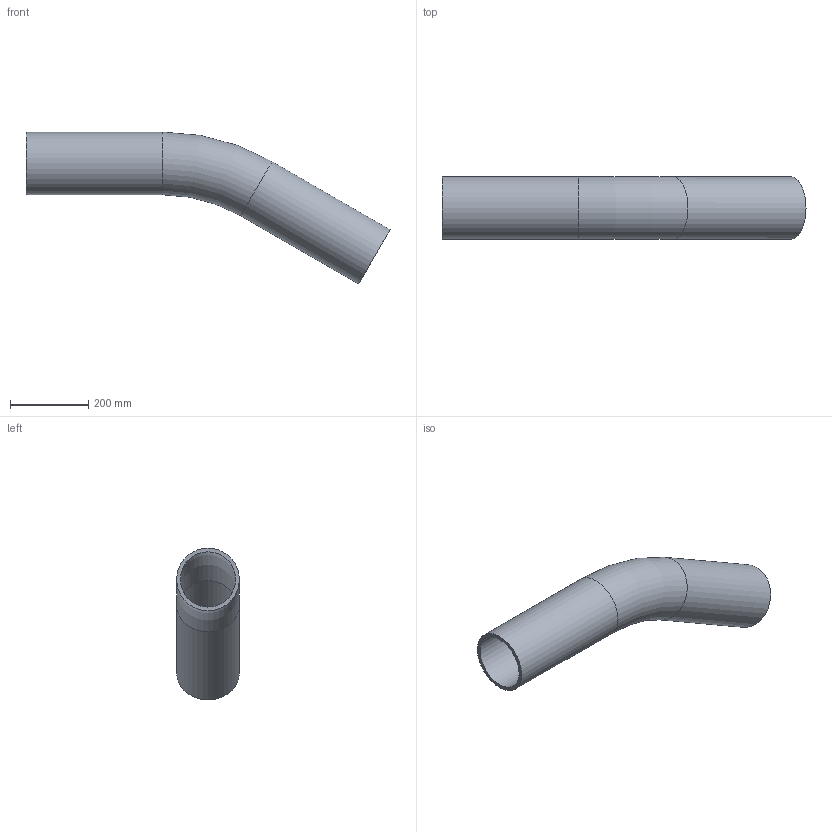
import cadquery as cq
import math

outer_diameter = 160.0
bore_diameter = 141.0

bend_angle = 30.0
bend_radius = 3 * outer_diameter
centre_to_end = 476.264
leg_length = centre_to_end - bend_radius * math.tan(math.radians(bend_angle / 2))


def point_on_bend(angle):
    """Centreline point (x, z) after turning through the given angle in degrees."""
    turn = math.radians(angle)
    return (
        leg_length + bend_radius * math.sin(turn),
        -bend_radius * (1 - math.cos(turn)),
    )


def make_centreline():
    """Leg, tangent arc and leg in the XZ plane, starting at the origin."""
    bend_end_x, bend_end_z = point_on_bend(bend_angle)
    slope = math.radians(bend_angle)
    pipe_end = (
        bend_end_x + leg_length * math.cos(slope),
        bend_end_z - leg_length * math.sin(slope),
    )
    return (
        cq.Workplane("XZ")
        .lineTo(leg_length, 0)
        .threePointArc(point_on_bend(bend_angle / 2), (bend_end_x, bend_end_z))
        .lineTo(*pipe_end)
    )


def make_pipe():
    """Sweep the ring-shaped pipe section along the centreline."""
    section = cq.Workplane("YZ").circle(outer_diameter / 2).circle(bore_diameter / 2)
    return section.sweep(make_centreline())


result = make_pipe()